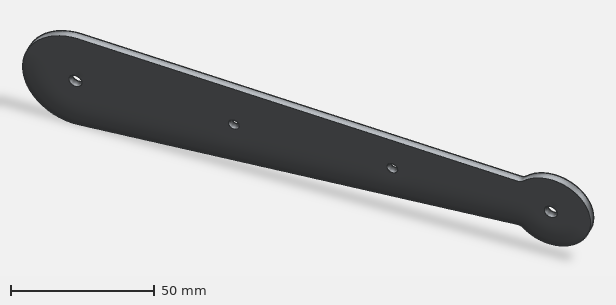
import cadquery as cq
import math

length = 215.0
thickness = 3.0
wide_radius = 20.0
tip_radius = 15.0
neck_half_width = wide_radius / 2
neck_fillet = 3.0
end_hole_diameter = 5.0
middle_hole_diameter = 4.0
hole_count = 4

hole_span = length - wide_radius - tip_radius
hole_pitch = hole_span / (hole_count - 1)
wide_x = wide_radius - length / 2
tip_x = wide_x + hole_span

neck_x = tip_x - math.sqrt(tip_radius**2 - neck_half_width**2)
neck_dx = neck_x - wide_x
neck_distance = math.hypot(neck_dx, neck_half_width)
tangent_angle = math.atan2(neck_half_width, neck_dx) + math.acos(wide_radius / neck_distance)
tangent_x = wide_x + wide_radius * math.cos(tangent_angle)
tangent_z = wide_radius * math.sin(tangent_angle)


def plate():
    """Tapered plate with a rounded wide end and a round tip."""
    blank = (
        cq.Workplane("XZ")
        .moveTo(tangent_x, tangent_z)
        .lineTo(neck_x, neck_half_width)
        .threePointArc((tip_x + tip_radius, 0), (neck_x, -neck_half_width))
        .lineTo(tangent_x, -tangent_z)
        .threePointArc((wide_x - wide_radius, 0), (tangent_x, tangent_z))
        .close()
        .extrude(thickness / 2, both=True)
    )
    neck_corners = cq.selectors.BoxSelector(
        (neck_x - neck_fillet, -thickness, -wide_radius),
        (neck_x + neck_fillet, thickness, wide_radius),
    )
    return blank.edges("|Y").edges(neck_corners).fillet(neck_fillet)


def hole(index):
    """Cutter for one through hole on the centre line."""
    is_end = index in (0, hole_count - 1)
    diameter = end_hole_diameter if is_end else middle_hole_diameter
    return (
        cq.Workplane("XZ")
        .center(wide_x + index * hole_pitch, 0)
        .circle(diameter / 2)
        .extrude(thickness, both=True)
    )


result = plate()
for index in range(hole_count):
    result = result.cut(hole(index))